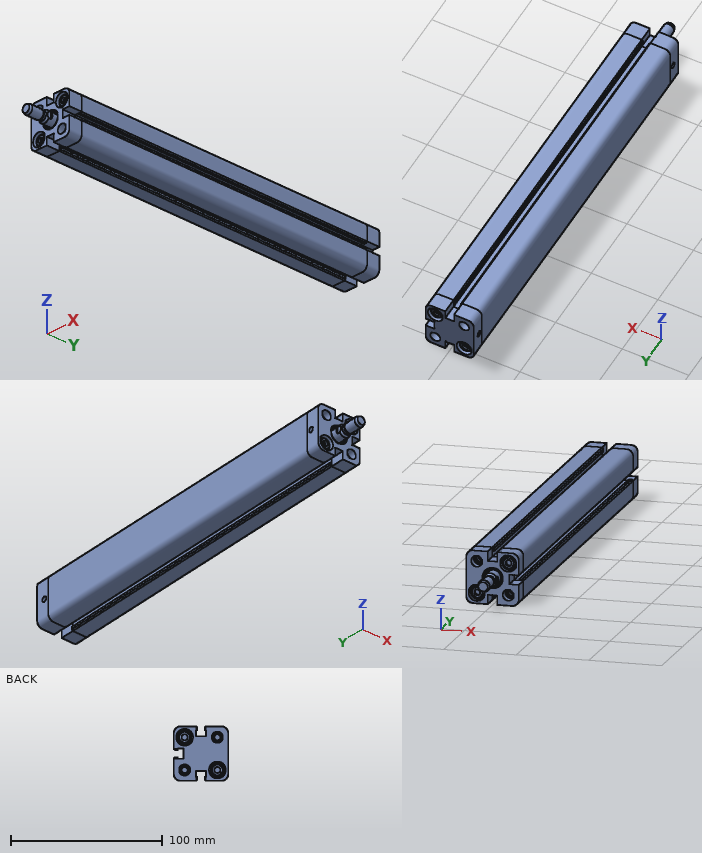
import cadquery as cq

TOTAL_LENGTH = 309.5
ROD_PROTRUSION = 22.5
CAP_LENGTH = 11.5
FRONT_FACE = -TOTAL_LENGTH / 2 + ROD_PROTRUSION
REAR_FACE = TOTAL_LENGTH / 2
TUBE_LENGTH = REAR_FACE - FRONT_FACE - 2 * CAP_LENGTH

SIDE = 36.2
HALF_SIDE = SIDE / 2
CORNER_RADIUS = 4.5
SLOT_WIDTH = 6.5
SLOT_DEPTH = 6.5
SLOT_ANGLES = (0, 90, 180)

LIP_GAP = 4.5
LIP_START = 1.0
LIP_END = 2.8

CORNER_OFFSET = 10.8
MOUNT_CORNERS = ((-1, 1), (1, -1))
SCREW_CORNERS = ((1, 1), (-1, -1))
MOUNT_STEPS = (
    (7.5, 6.2),
    (6.0, 7.5),
    (4.0, CAP_LENGTH),
)
SCREW_POCKET_DIAMETER = 11.0
SCREW_POCKET_DEPTH = 4.0
SCREW_HEAD_DIAMETER = 9.0
SCREW_HEAD_HEIGHT = 2.8
SCREW_HEAD_CHAMFER = 1.0
SOCKET_DIAMETER = 4.0
SOCKET_DEPTH = 2.0

PORT_DIAMETER = 4.0
PORT_DEPTH = 6.2
PORT_INSET = 7.5

SEAT_STEPS = (
    (14.0, 1.0),
    (12.0, 2.0),
    (11.0, 3.0),
)

ROD_DIAMETER = 10.0
SHOULDER_TAPER = 2.0
FLAT_WIDTH = 8.5
FLAT_START = 2.8
NECK_START = 7.5
NECK_DIAMETER = 7.5
STUD_START = 9.3
STUD_TAPER = 1.0
STUD_DIAMETER = 8.0
STUD_TIP_DIAMETER = 6.5
STUD_TIP_LENGTH = 2.2


def cylinder(diameter, start, length, x=0, z=0):
    """Cylinder along Y that begins at Y = start."""
    return cq.Workplane(cq.Solid.makeCylinder(
        diameter / 2, length, cq.Vector(x, start, z), cq.Vector(0, 1, 0)))


def square_bar(start, length):
    bar = cq.Workplane("XY").box(SIDE, length, SIDE).translate((0, start + length / 2, 0))
    return bar.edges("|Y").fillet(CORNER_RADIUS)


def cut_slots(bar, half_outline, start, length):
    """Cut one mirrored groove outline into each slotted side."""
    mirrored = [(-x, z) for x, z in reversed(half_outline)]
    groove = (
        cq.Workplane("XZ", origin=(0, start + length, 0))
        .polyline(half_outline + mirrored)
        .close()
        .extrude(length)
    )
    for angle in SLOT_ANGLES:
        bar = bar.cut(groove.rotate((0, 0, 0), (0, 1, 0), angle))
    return bar


def make_tube():
    start = FRONT_FACE + CAP_LENGTH
    half_outline = [
        (SLOT_WIDTH / 2, HALF_SIDE),
        (LIP_GAP / 2, HALF_SIDE - LIP_START),
        (LIP_GAP / 2, HALF_SIDE - LIP_END),
        (SLOT_WIDTH / 2, HALF_SIDE - LIP_END),
        (SLOT_WIDTH / 2, HALF_SIDE - SLOT_DEPTH),
    ]
    return cut_slots(square_bar(start, TUBE_LENGTH), half_outline, start, TUBE_LENGTH)


def cut_steps(cap, steps, x=0, z=0):
    """Cut coaxial bores into the front face, one for each diameter and depth."""
    for diameter, depth in steps:
        cap = cap.cut(cylinder(diameter, FRONT_FACE, depth, x, z))
    return cap


def add_screw_head(cap, x, z):
    """Sunken socket-head screw, formed in one piece with the cap."""
    head_top = FRONT_FACE + SCREW_POCKET_DEPTH - SCREW_HEAD_HEIGHT
    head = cylinder(SCREW_HEAD_DIAMETER, head_top, SCREW_HEAD_HEIGHT, x, z)
    head = head.faces("<Y").chamfer(SCREW_HEAD_CHAMFER)
    cap = cap.cut(cylinder(SCREW_POCKET_DIAMETER, FRONT_FACE, SCREW_POCKET_DEPTH, x, z))
    return cap.union(head).cut(cylinder(SOCKET_DIAMETER, head_top, SOCKET_DEPTH, x, z))


def make_front_cap_blank():
    """Cap with slots, corner fastenings and port, its outer face at the front."""
    half_outline = [
        (SLOT_WIDTH / 2, HALF_SIDE),
        (SLOT_WIDTH / 2, HALF_SIDE - SLOT_DEPTH),
    ]
    cap = cut_slots(square_bar(FRONT_FACE, CAP_LENGTH), half_outline, FRONT_FACE, CAP_LENGTH)
    for side_x, side_z in MOUNT_CORNERS:
        cap = cut_steps(cap, MOUNT_STEPS, side_x * CORNER_OFFSET, side_z * CORNER_OFFSET)
    for side_x, side_z in SCREW_CORNERS:
        cap = add_screw_head(cap, side_x * CORNER_OFFSET, side_z * CORNER_OFFSET)
    port = (
        cq.Workplane("YZ", origin=(-HALF_SIDE, FRONT_FACE + PORT_INSET, 0))
        .circle(PORT_DIAMETER / 2)
        .extrude(PORT_DEPTH)
    )
    return cap.cut(port)


def make_front_cap():
    cap = make_front_cap_blank()
    cap = cut_steps(cap, SEAT_STEPS)
    return cap.cut(cylinder(ROD_DIAMETER, FRONT_FACE, CAP_LENGTH))


def make_rear_cap():
    return make_front_cap_blank().mirror("XZ", (0, (FRONT_FACE + REAR_FACE) / 2, 0))


def make_rod():
    """Revolve the rod profile about Y, then mill the two wrench flats."""
    rod_radius = ROD_DIAMETER / 2
    neck_radius = NECK_DIAMETER / 2
    stud_radius = STUD_DIAMETER / 2
    tip_radius = STUD_TIP_DIAMETER / 2
    root = FRONT_FACE + CAP_LENGTH
    neck_start = FRONT_FACE - NECK_START
    stud_start = FRONT_FACE - STUD_START
    tip = FRONT_FACE - ROD_PROTRUSION
    profile = [
        (0, root),
        (rod_radius, root),
        (rod_radius, neck_start + SHOULDER_TAPER),
        (neck_radius, neck_start),
        (neck_radius, stud_start),
        (stud_radius, stud_start - STUD_TAPER),
        (stud_radius, tip + STUD_TIP_LENGTH),
        (tip_radius, tip),
        (0, tip),
    ]
    rod = cq.Workplane("XY").polyline(profile).close().revolve(360, (0, 0, 0), (0, 1, 0))

    flat_depth = (ROD_DIAMETER - FLAT_WIDTH) / 2
    flat_start = FRONT_FACE - FLAT_START
    outline = [
        (rod_radius, flat_start),
        (rod_radius - flat_depth, flat_start - flat_depth),
        (rod_radius - flat_depth, neck_start),
        (rod_radius, neck_start),
    ]
    flat = cq.Workplane("XY").polyline(outline).close().extrude(rod_radius, both=True)
    return rod.cut(flat).cut(flat.mirror("YZ"))


tube = make_tube()
front_cap = make_front_cap()
rear_cap = make_rear_cap()
rod = make_rod()
bodies = (tube, front_cap, rear_cap, rod)
result = cq.Compound.makeCompound([body.solids().val() for body in bodies])